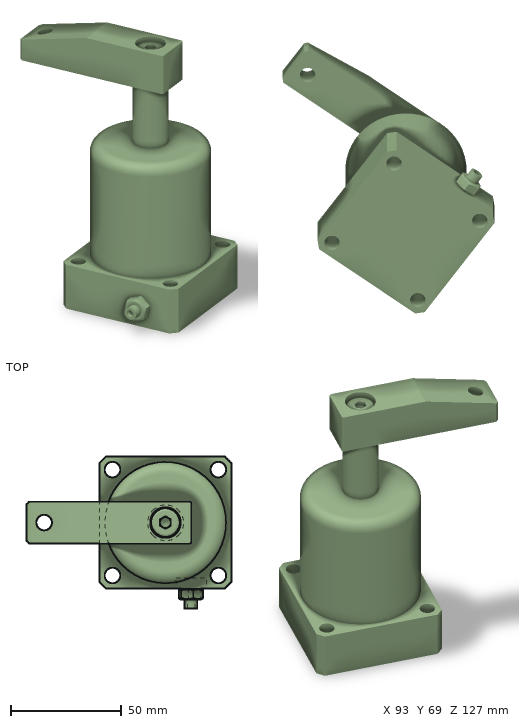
import cadquery as cq
import math


base_side = 60.0
base_height = 22.0
base_chamfer = 3.0
bolt_spacing = 48.0
bolt_hole_diameter = 7.0
barrel_diameter = 55.0
barrel_top = 78.0
barrel_fillet = 5.0

overall_height = 127.0
arm_thickness = 19.0
arm_width = 19.0
arm_reach = 63.0
arm_tail = 11.8
arm_slope_length = 35.0
arm_tip_height = 10.0
arm_tip_chamfer = 1.3
arm_tail_fillet = 1.0
tip_hole_diameter = 7.0
tip_hole_reach = 55.0
arm_bottom = overall_height - arm_thickness

rod_diameter = 16.3

counterbore_diameter = 14.0
counterbore_depth = 10.0
screw_sink = 2.0
screw_diameter = 13.0
screw_fillet = 1.3
socket_across_flats = 5.0
socket_depth = 2.2
socket_tip_angle = 118.0
screw_top = overall_height - screw_sink
screw_height = counterbore_depth - screw_sink

fitting_x = 11.5
fitting_z = 10.0
fitting_length = 9.0
nut_across_flats = 10.2
nut_length = 5.0
nut_turn = 11.0
nut_chamfer_diameter = 9.0
nut_chamfer_angle = 30.0
spout_diameter = 6.0
spout_bore_diameter = 3.3
spout_bore_depth = 4.0
plug_diameter = 14.0
plug_depth = 5.0


def across_corners(across_flats):
    """Circumscribed diameter of a regular hexagon."""
    return across_flats / math.cos(math.radians(30))


def fitting_plane():
    """Workplane on the base face, centred on the fitting and facing outward."""
    return cq.Workplane("XZ", origin=(fitting_x, -base_side / 2, fitting_z))


def make_plug():
    """Round plug of the fitting, flush with the base face; it also cuts its own port."""
    return fitting_plane().circle(plug_diameter / 2).extrude(-plug_depth)


def make_housing():
    base = (
        cq.Workplane("XY")
        .rect(base_side, base_side)
        .extrude(base_height)
        .edges("|Z")
        .chamfer(base_chamfer)
    )
    barrel = (
        cq.Workplane("XY")
        .circle(barrel_diameter / 2)
        .extrude(barrel_top)
        .faces(">Z")
        .edges()
        .fillet(barrel_fillet)
    )
    bolt_holes = (
        cq.Workplane("XY")
        .rect(bolt_spacing, bolt_spacing, forConstruction=True)
        .vertices()
        .circle(bolt_hole_diameter / 2)
        .extrude(base_height)
    )
    return base.cut(bolt_holes).union(barrel).cut(make_plug())


def make_rod():
    return (
        cq.Workplane("XY", origin=(0, 0, barrel_top))
        .circle(rod_diameter / 2)
        .extrude(arm_bottom - barrel_top)
    )


def make_arm():
    body = (
        cq.Workplane("XZ")
        .moveTo(-arm_reach, arm_bottom)
        .lineTo(arm_tail, arm_bottom)
        .lineTo(arm_tail, overall_height)
        .lineTo(arm_slope_length - arm_reach, overall_height)
        .lineTo(-arm_reach, arm_bottom + arm_tip_height)
        .close()
        .extrude(arm_width / 2, both=True)
    )
    body = body.faces("<X").edges("|Z").chamfer(arm_tip_chamfer)
    body = body.faces(">X").edges("|Z").fillet(arm_tail_fillet)
    tip_hole = (
        cq.Workplane("XY", origin=(-tip_hole_reach, 0, arm_bottom))
        .circle(tip_hole_diameter / 2)
        .extrude(arm_thickness)
    )
    counterbore = (
        cq.Workplane("XY", origin=(0, 0, overall_height))
        .circle(counterbore_diameter / 2)
        .extrude(-counterbore_depth)
    )
    return body.cut(tip_hole).cut(counterbore)


def make_screw():
    head = (
        cq.Workplane("XY", origin=(0, 0, screw_top - screw_height))
        .circle(screw_diameter / 2)
        .extrude(screw_height)
        .faces(">Z")
        .edges()
        .fillet(screw_fillet)
    )
    socket = (
        cq.Workplane("XY", origin=(0, 0, screw_top))
        .transformed(rotate=(0, 0, 90))
        .polygon(6, across_corners(socket_across_flats))
        .extrude(-socket_depth)
    )
    tip_radius = socket_across_flats / 2
    tip_depth = tip_radius / math.tan(math.radians(socket_tip_angle / 2))
    socket_tip = cq.Solid.makeCone(
        tip_radius, 0, tip_depth, cq.Vector(0, 0, screw_top - socket_depth), cq.Vector(0, 0, -1)
    )
    return head.cut(socket).cut(cq.Workplane(socket_tip))


def make_fitting():
    nut_corners = across_corners(nut_across_flats)
    nut = (
        fitting_plane()
        .transformed(rotate=(0, 0, 90 - nut_turn))
        .polygon(6, nut_corners)
        .extrude(nut_length)
    )
    chamfer_width = (nut_corners - nut_chamfer_diameter) / 2
    chamfer_height = chamfer_width * math.tan(math.radians(nut_chamfer_angle))
    blank = (
        fitting_plane()
        .circle(nut_corners / 2)
        .extrude(nut_length)
        .faces("<Y")
        .chamfer(chamfer_height, chamfer_width)
        .faces(">Y")
        .chamfer(chamfer_height, chamfer_width)
    )
    spout = fitting_plane().circle(spout_diameter / 2).extrude(fitting_length)
    bore = (
        fitting_plane()
        .workplane(offset=fitting_length)
        .circle(spout_bore_diameter / 2)
        .extrude(-spout_bore_depth)
    )
    return make_plug().union(nut.intersect(blank)).union(spout).cut(bore)


housing = make_housing()
rod = make_rod()
arm = make_arm()
screw = make_screw()
fitting = make_fitting()

bodies = [housing, rod, arm, screw, fitting]

result = cq.Compound.makeCompound([body.solids().val() for body in bodies])